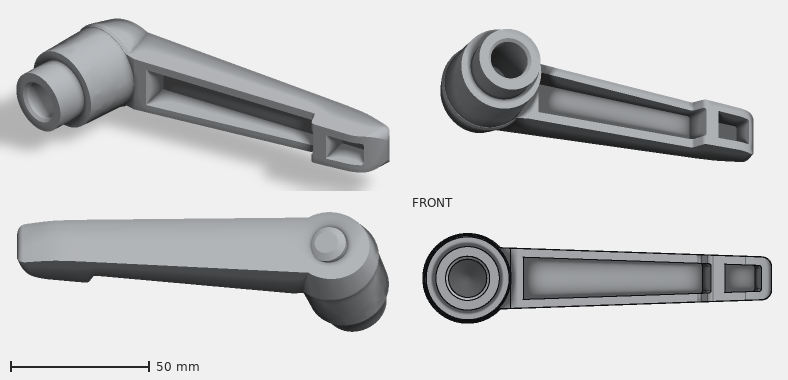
import math

import cadquery as cq


boss_radius = 11.5
boss_length = 12.0
sleeve_bottom_radius = 15.0
sleeve_middle_radius = 15.35
sleeve_top_radius = 15.6
sleeve_top = 33.0

hub_radius = 16.24
collar_lower_radius = 15.75
collar_bevel_top = 34.3
collar_top = 35.1
dome_middle_y = 42.6
dome_middle_radius = 14.55
dome_end_y = 52.0
dome_end_radius = 12.2

bore_diameter = 13.84
bore_radius = bore_diameter / 2
bore_mouth_radius = 8.0
bore_depth = 30.0
drill_point_angle = 118.0

screw_diameter = 13.84
screw_radius = screw_diameter / 2
screw_shoulder_y = 47.6
screw_top_y = 49.1
screw_top_radius = 4.3

length_x = 126.25
total_height = 72.03
tip_x = length_x - hub_radius
top_angle = 15.0
bottom_angle = 20.0
top_slope = math.tan(math.radians(top_angle))
bottom_slope = math.tan(math.radians(bottom_angle))
top_at_axis = 46.5
arm_bottom_start_x = 15.6
crown_start_x = 76.5
crown_flat_x = 104.0
tip_round_start_x = 107.4
tip_widest_y = 69.0
nose_middle = (106.2, 60.9)
nose_end_x = 100.6
catch_x = 87.5
catch_y = 52.6
notch_x = 84.1
notch_fillet = 1.0
catch_fillet = 1.6

arm_half_width_at_axis = 11.5
width_slope = 0.0347
tip_corner_radius = 3.8

rim_thickness = 3.15
floor_thickness = 4.45
arm_pocket_start_x = 20.2
arm_pocket_end = (88.1, 53.0)
tip_pocket_start_x = 93.1
tip_pocket_end = (106.3, 61.0)
pocket_fillet = 1.0
pocket_overshoot = 6.0


def top_line_y(x):
    """Height of the sloping top plane at x."""
    return top_at_axis + top_slope * x


def bottom_line_y(x):
    """Height of the lever's underside at x."""
    return sleeve_top + bottom_slope * (x - arm_bottom_start_x)


def nose_line_y(x):
    """Height of the underside beyond the catch at x."""
    return catch_y + bottom_slope * (x - catch_x)


def half_width(x):
    """Half of the lever's width at x."""
    return arm_half_width_at_axis - width_slope * x


def make_hub():
    """Boss, sleeve, collar and dome, cut off by the sloping top plane."""
    hub = (
        cq.Workplane("XY")
        .moveTo(0, 0)
        .lineTo(boss_radius, 0)
        .lineTo(boss_radius, boss_length)
        .lineTo(sleeve_bottom_radius, boss_length)
        .threePointArc(
            (sleeve_middle_radius, (boss_length + sleeve_top) / 2),
            (sleeve_top_radius, sleeve_top),
        )
        .lineTo(collar_lower_radius, sleeve_top)
        .lineTo(hub_radius, collar_bevel_top)
        .lineTo(hub_radius, collar_top)
        .threePointArc((dome_middle_radius, dome_middle_y), (dome_end_radius, dome_end_y))
        .lineTo(0, dome_end_y)
        .close()
        .revolve(360, (0, 0, 0), (0, 1, 0))
    )
    reach = 2 * hub_radius
    below_top_plane = (
        cq.Workplane("XY")
        .polyline([(-reach, 0), (reach, 0), (reach, top_line_y(reach)), (-reach, top_line_y(-reach))])
        .close()
        .extrude(hub_radius, both=True)
    )
    return hub.intersect(below_top_plane)


def make_screw_head():
    """Cylinder with a conical top, rooted in the hub."""
    return (
        cq.Workplane("XY")
        .moveTo(0, sleeve_top)
        .lineTo(screw_radius, sleeve_top)
        .lineTo(screw_radius, screw_shoulder_y)
        .lineTo(screw_top_radius, screw_top_y)
        .lineTo(0, screw_top_y)
        .close()
        .revolve(360, (0, 0, 0), (0, 1, 0))
    )


def make_lever():
    """Side outline of the lever, trimmed to its tapering width."""
    crown_peak_x = (total_height - top_at_axis) / top_slope
    side = (
        cq.Workplane("XY")
        .moveTo(0, sleeve_top)
        .lineTo(arm_bottom_start_x, sleeve_top)
        .lineTo(notch_x, bottom_line_y(notch_x))
        .lineTo(catch_x, catch_y)
        .lineTo(nose_end_x, nose_line_y(nose_end_x))
        .threePointArc(nose_middle, (tip_x, tip_widest_y))
        .tangentArcPoint((tip_round_start_x, total_height), relative=False)
        .lineTo(crown_flat_x, total_height)
        .bezier(
            [(crown_peak_x, total_height)] * 2 + [(crown_start_x, top_line_y(crown_start_x))],
            includeCurrent=True,
        )
        .lineTo(0, top_at_axis)
        .close()
        .extrude(hub_radius, both=True)
    )
    notch_edge = cq.selectors.NearestToPointSelector((notch_x, bottom_line_y(notch_x), 0))
    side = side.edges(notch_edge).fillet(notch_fillet)
    catch_edge = cq.selectors.NearestToPointSelector((catch_x, catch_y, 0))
    side = side.edges(catch_edge).fillet(catch_fillet)
    plan = (
        cq.Workplane("XZ")
        .polyline(
            [
                (0, -half_width(0)),
                (tip_x, -half_width(tip_x)),
                (tip_x, half_width(tip_x)),
                (0, half_width(0)),
            ]
        )
        .close()
        .extrude(-total_height)
        .edges("|Y and >X")
        .fillet(tip_corner_radius)
    )
    return side.intersect(plan)


def make_pocket(start, end):
    """Pocket square to the top plane between two rim points, rounded at its tip end."""

    floor_at_axis = top_at_axis - floor_thickness / math.cos(math.radians(top_angle))

    def wall_point(rim, y):
        """Point at height y on the wall line through a rim point."""
        return (rim[0] - top_slope * (y - rim[1]), y)

    def floor_point(rim):
        """Where the wall line through a rim point meets the pocket floor."""
        y = (floor_at_axis + top_slope * (rim[0] + top_slope * rim[1])) / (1 + top_slope**2)
        return wall_point(rim, y)

    open_start = wall_point(start, start[1] - pocket_overshoot)
    open_end = wall_point(end, end[1] - pocket_overshoot)
    floor_end = floor_point(end)
    side = (
        cq.Workplane("XY")
        .polyline([open_start, open_end, floor_end, floor_point(start)])
        .close()
        .extrude(hub_radius, both=True)
    )
    inner_start = half_width(0) - rim_thickness
    inner_end = half_width(tip_x) - rim_thickness
    plan = (
        cq.Workplane("XZ")
        .polyline([(0, -inner_start), (tip_x, -inner_end), (tip_x, inner_end), (0, inner_start)])
        .close()
        .extrude(-total_height)
    )
    wall_middle_x = (open_end[0] + floor_end[0]) / 2
    wall_middle_y = (open_end[1] + floor_end[1]) / 2
    corner_z = half_width(wall_middle_x) - rim_thickness
    pocket = side.intersect(plan)
    for z_side in (-1, 1):
        corner = cq.selectors.NearestToPointSelector((wall_middle_x, wall_middle_y, z_side * corner_z))
        pocket = pocket.edges(corner).fillet(pocket_fillet)
    return pocket


def make_bore():
    """Blind hole with a chamfered mouth and a conical end."""
    point_length = bore_radius / math.tan(math.radians(drill_point_angle / 2))
    return (
        cq.Workplane("XY")
        .moveTo(0, 0)
        .lineTo(bore_mouth_radius, 0)
        .lineTo(bore_radius, bore_mouth_radius - bore_radius)
        .lineTo(bore_radius, bore_depth)
        .lineTo(0, bore_depth + point_length)
        .close()
        .revolve(360, (0, 0, 0), (0, 1, 0))
    )


arm_pocket = make_pocket((arm_pocket_start_x, bottom_line_y(arm_pocket_start_x)), arm_pocket_end)
tip_pocket = make_pocket((tip_pocket_start_x, nose_line_y(tip_pocket_start_x)), tip_pocket_end)

lever = make_lever().cut(arm_pocket).cut(tip_pocket)
result = make_hub().union(lever).union(make_screw_head()).cut(make_bore())